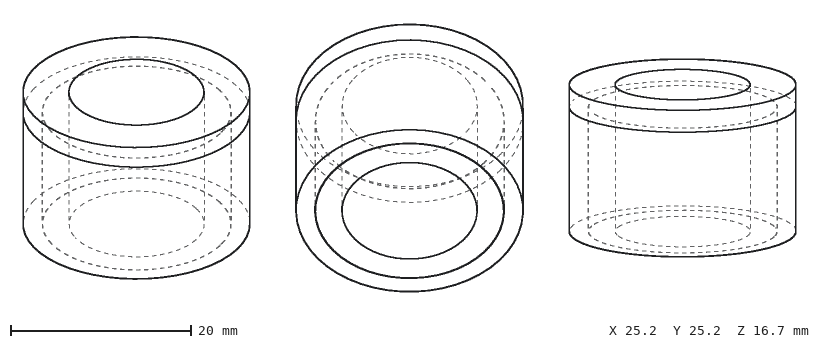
import cadquery as cq

outer_diameter = 25.2
bore_diameter = 15.0
sleeve_diameter = 20.9
ring_bore_diameter = 21.0
total_height = 16.7
flange_height = 2.5

ring_height = total_height - flange_height


def make_flanged_bush():
    """Bush with a flange on top and a full-length bore, so the bore wall has no seam."""
    sleeve = cq.Workplane("XY").circle(sleeve_diameter / 2).extrude(ring_height)
    flange = (
        cq.Workplane("XY")
        .workplane(offset=ring_height)
        .circle(outer_diameter / 2)
        .extrude(flange_height)
    )
    bore = cq.Workplane("XY").circle(bore_diameter / 2).extrude(total_height)
    return sleeve.union(flange).cut(bore)


def make_outer_ring():
    """Ring around the sleeve with a small clearance, flush with the flange rim."""
    return (
        cq.Workplane("XY")
        .circle(outer_diameter / 2)
        .circle(ring_bore_diameter / 2)
        .extrude(ring_height)
    )


flanged_bush = make_flanged_bush()
outer_ring = make_outer_ring()

result = cq.Compound.makeCompound([flanged_bush.val(), outer_ring.val()])